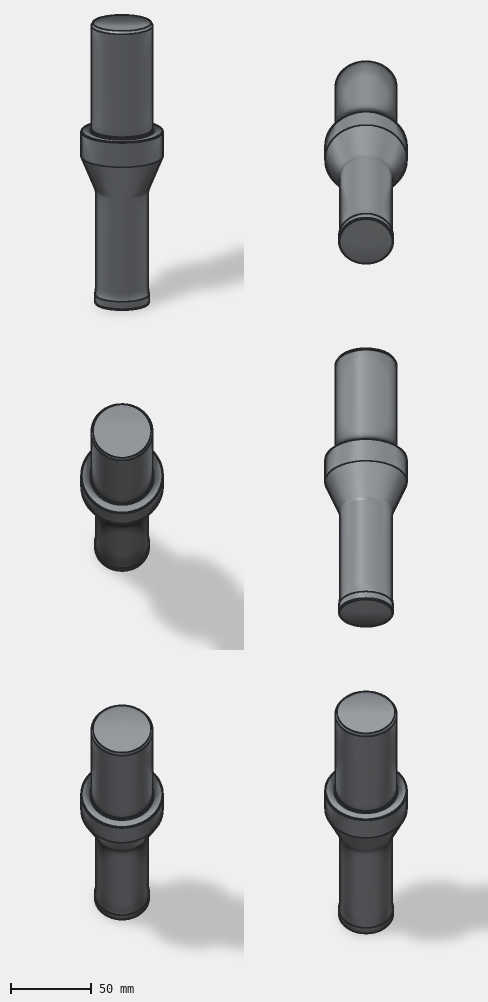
import cadquery as cq

total_length = 181.6
shank_radius = 19.0
neck_radius = 18.5
relief_radius = 19.8
flange_radius = 25.5
stem_radius = 16.3
cone_foot_radius = 16.7
head_radius = 16.9

tip_rise = 1.0
head_chamfer_width = 0.5
head_chamfer_height = 0.9
head_height = 6.7
flare_height = 5.3
cone_foot_height = 73.2
cone_foot_taper = 1.6
flange_bottom = 95.9
flange_top = 112.0
flange_chamfer = 0.5

shank_chamfer_width = 1.0
shank_chamfer_height = 1.8
undercut_height = 1.5
undercut_depth = 0.4
undercut_taper = 0.5


def revolve_outline(outline):
    """Close an outline and turn it around the Z axis."""
    return outline.close().revolve(360, (0, 0), (0, 1))


def make_head():
    """Slightly wider end piece with a shallow conical tip."""
    outline = cq.Workplane("XZ").polyline([
        (0, 0),
        (head_radius - head_chamfer_width, tip_rise),
        (head_radius, tip_rise + head_chamfer_height),
        (head_radius, head_height),
        (0, head_height),
    ])
    return revolve_outline(outline)


def make_holder():
    """Stem, cone, flange and shank, with a relief at the root of the shank."""
    undercut_floor = flange_top - undercut_depth
    undercut_top = flange_top + undercut_height
    outline = (
        cq.Workplane("XZ")
        .moveTo(stem_radius, cone_foot_height)
        .lineTo(stem_radius, head_height + flare_height)
        .tangentArcPoint((head_radius, head_height), relative=False)
        .lineTo(0, head_height)
    )
    outline = outline.polyline([
        (0, total_length),
        (shank_radius - shank_chamfer_width, total_length),
        (shank_radius, total_length - shank_chamfer_height),
        (shank_radius, undercut_top),
        (neck_radius, undercut_top - undercut_taper),
        (neck_radius, undercut_floor),
        (neck_radius + undercut_taper, undercut_floor),
        (relief_radius, flange_top),
        (flange_radius - flange_chamfer, flange_top),
        (flange_radius, flange_top - flange_chamfer),
        (flange_radius, flange_bottom),
        (cone_foot_radius, cone_foot_height + cone_foot_taper),
    ], includeCurrent=True)
    return revolve_outline(outline)


head = make_head()
holder = make_holder()

result = cq.Compound.makeCompound([head.val(), holder.val()])